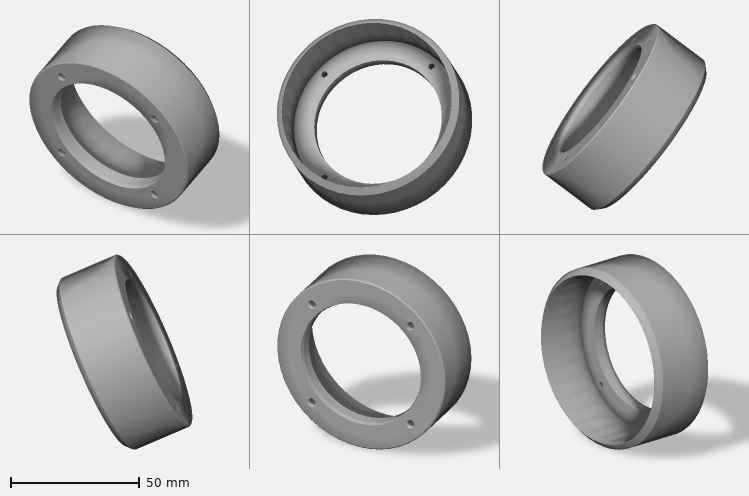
import cadquery as cq

outer_radius = 36.5
thickness = 26.0
bore_radius = 51.0 / 2
lip_thickness = 6.0
recess_floor_radius = 33.6
recess_mouth_radius = 34.0
front_chamfer = 0.5
back_chamfer = 2.4
bore_chamfer_width = 0.5
bore_chamfer_depth = 1.45

screw_hole_diameter = 2.5
countersink_diameter = 3.7
countersink_angle = 90
screw_offset = 21.4

front_y = -thickness / 2
back_y = thickness / 2
lip_back_y = front_y + lip_thickness


def make_ring():
    """Revolve the wall section, drawn as (radius, y), around the Y axis."""
    return (
        cq.Workplane("XY")
        .moveTo(bore_radius + bore_chamfer_width, front_y)
        .lineTo(outer_radius - front_chamfer, front_y)
        .lineTo(outer_radius, front_y + front_chamfer)
        .lineTo(outer_radius, back_y - back_chamfer)
        .lineTo(outer_radius - back_chamfer, back_y)
        .lineTo(recess_mouth_radius, back_y)
        .lineTo(recess_floor_radius, lip_back_y)
        .lineTo(bore_radius, lip_back_y)
        .lineTo(bore_radius, front_y + bore_chamfer_depth)
        .close()
        .revolve(360, (0, 0, 0), (0, 1, 0))
    )


def drill_screw_holes(ring):
    """Cut four countersunk holes through the lip."""
    return (
        ring.faces("<Y")
        .workplane(origin=(0, front_y, 0))
        .rect(2 * screw_offset, 2 * screw_offset, forConstruction=True)
        .vertices()
        .cskHole(screw_hole_diameter, countersink_diameter, countersink_angle)
    )


result = drill_screw_holes(make_ring())